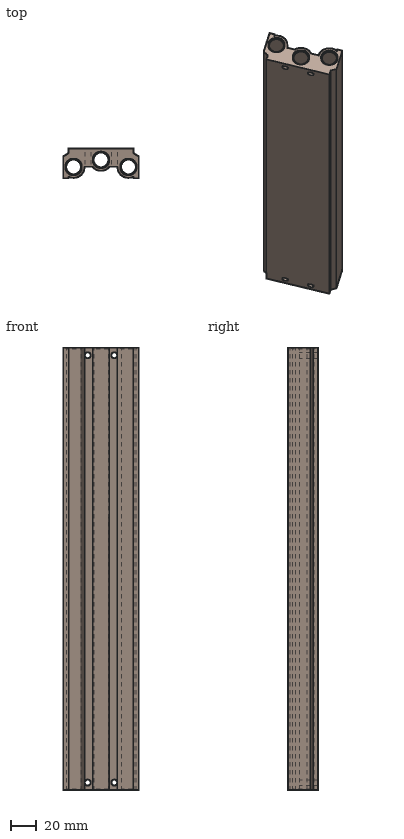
import cadquery as cq
import math

length = 345.0
width = 59.0
depth = 23.5
back_width = 51.0

back_y = depth / 2
front_y = -depth / 2
shoulder_start_y = back_y - 3.8
shoulder_end_y = back_y - 6.2
recess_y = back_y - 14.5

side_channel_x = 21.5
side_channel_y = recess_y
middle_channel_y = back_y - 9.0
channel_diameter = 11.5
mouth_diameter = 13.0
wall_radius = 8.5
side_land_inner_x = 25.2

mount_diameter = 4.5
mount_x = 10.5
mount_end_offset = 6.0

channel_places = [
    (-side_channel_x, side_channel_y),
    (0, middle_channel_y),
    (side_channel_x, side_channel_y),
]


def cross_section():
    """Closed outline of the bar, symmetric about the YZ plane."""
    side_x = width / 2
    back_x = back_width / 2
    land_offset = side_land_inner_x - side_channel_x
    land_y = side_channel_y - math.sqrt(wall_radius**2 - land_offset**2)
    arc_mid_offset = wall_radius / math.sqrt(2)
    side_arc_mid = (side_channel_x - arc_mid_offset, side_channel_y - arc_mid_offset)
    side_arc_end_x = side_channel_x - wall_radius
    middle_arc_x = math.sqrt(wall_radius**2 - (middle_channel_y - recess_y)**2)
    middle_arc_bottom = (0, middle_channel_y - wall_radius)
    return (
        cq.Workplane("XY")
        .moveTo(-back_x, back_y)
        .lineTo(back_x, back_y)
        .lineTo(back_x, shoulder_start_y)
        .lineTo(side_x, shoulder_end_y)
        .lineTo(side_x, front_y)
        .lineTo(side_land_inner_x, front_y)
        .lineTo(side_land_inner_x, land_y)
        .threePointArc(side_arc_mid, (side_arc_end_x, recess_y))
        .lineTo(middle_arc_x, recess_y)
        .threePointArc(middle_arc_bottom, (-middle_arc_x, recess_y))
        .lineTo(-side_arc_end_x, recess_y)
        .threePointArc((-side_arc_mid[0], side_arc_mid[1]), (-side_land_inner_x, land_y))
        .lineTo(-side_land_inner_x, front_y)
        .lineTo(-side_x, front_y)
        .lineTo(-side_x, shoulder_end_y)
        .lineTo(-back_x, shoulder_start_y)
        .close()
    )


def channel_cut(x, y):
    """Full-length cylinder along Z that flares at 45 degrees to the mouth diameter at both ends."""
    mouth_radius = mouth_diameter / 2
    channel_radius = channel_diameter / 2
    flare = mouth_radius - channel_radius
    return (
        cq.Workplane("XZ")
        .polyline([
            (0, 0),
            (mouth_radius, 0),
            (channel_radius, flare),
            (channel_radius, length - flare),
            (mouth_radius, length),
            (0, length),
        ])
        .close()
        .revolve(360, (0, 0), (0, 1))
        .translate((x, y, 0))
    )


def mounting_hole_cuts():
    """Four cylinders along Y, two near each end of the bar."""
    places = [
        (x, z)
        for x in (-mount_x, mount_x)
        for z in (mount_end_offset, length - mount_end_offset)
    ]
    return (
        cq.Workplane("XZ", origin=(0, back_y, 0))
        .pushPoints(places)
        .circle(mount_diameter / 2)
        .extrude(depth)
    )


bar = cross_section().extrude(length)

for channel_x, channel_y in channel_places:
    bar = bar.cut(channel_cut(channel_x, channel_y))

result = bar.cut(mounting_hole_cuts())